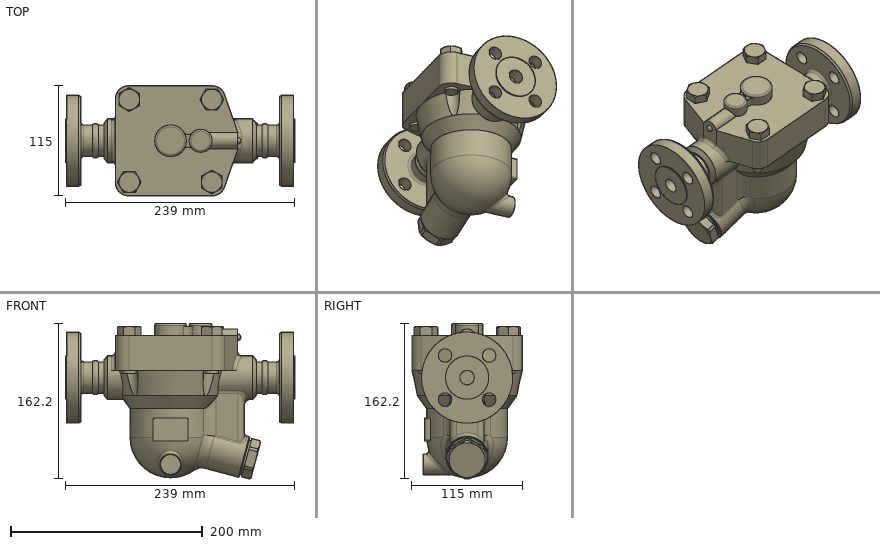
import cadquery as cq
import math

OVERALL_LENGTH = 239.0
VESSEL_X = -10.0

PICK_MARGIN = 1.0
PICK_TOLERANCE = 0.01

FLANGE_DIA = 95.0
FLANGE_THICKNESS = 14.7
FLANGE_CHAMFER_LENGTH = 2.3
FLANGE_CHAMFER_DEPTH = 1.3
RAISED_FACE_DIA = 45.0
RAISED_FACE_HEIGHT = 1.3
PORT_DIA = 15.0
PORT_DEPTH = FLANGE_THICKNESS + RAISED_FACE_HEIGHT
FLANGE_HOLE_DIA = 14.0
FLANGE_HOLE_CIRCLE_DIA = 65.0

PIPE_DIA = 33.0
PIPE_ROOT_FILLET = 3.0
BEAD_RISE = 1.4
BEAD_WIDTH = 6.4
BEAD_X = 88.3
SOCKET_DIA = 46.0
SOCKET_END_X = 75.5
SHOULDER_LENGTH = 4.0
SHOULDER_RISE = 1.8
SOCKET_BLEND = 4.0

COVER_SIDE = 115.0
COVER_NOSE_REACH = 70.0
COVER_NOSE_WIDTH = 18.0
COVER_SHOULDER_REACH = 53.2
COVER_CORNER_RADIUS = 14.0
COVER_TOP_Z = 44.0
COVER_JOINT_Z = 27.3
BODY_FLANGE_BOTTOM_Z = 7.2

BOLT_SPACING = 86.0
BOLT_DIA = 14.0
BOLT_HEAD_FLATS = 21.5
BOLT_HEAD_CORNER_DIA = 2 * BOLT_HEAD_FLATS / math.sqrt(3)
BOLT_HEAD_HEIGHT = 9.3
BOLT_END_LENGTH = 3.0
BOLT_CLEARANCE_DIA = 18.0
BOLT_HEAD_TURN = {(-1, 1): 30.0, (1, 1): 0.0, (-1, -1): 0.0, (1, -1): 30.0}

HEX_CHAMFER_ANGLE = 30.0

BOSS_TOP_Z = 56.4
BOSS_ROUND = 2.0
MAIN_BOSS_DIA = 33.0
SIDE_BOSS_DIA = 24.0
SIDE_BOSS_REACH = 31.4
BOSS_WEB_TOP_Z = 53.4
BOSS_WEB_BLEND = 6.0
DUCT_DIA = 17.4
DUCT_Z = 42.0
DUCT_KNOB_RADIUS = 3.4

VESSEL_RADIUS = 42.25
BOWL_TOP_RADIUS = COVER_SIDE / 2
BOWL_MID_RADIUS = 52.0
BOWL_MID_Z = -18.7
BOWL_BOTTOM_Z = -32.3
DOME_CENTER_Z = -62.2

BLOCK_WIDTH = 35.4
BLOCK_REACH = 77.0
BLOCK_EDGE_RADIUS = 6.5
BLOCK_BLEND_RADIUS = 16.0
BLOCK_DEPTH_IN_STRAINER = 10.0
BLOCK_SOCKET_FILLET = 6.0
BLOCK_STRAINER_FILLET = 3.0

STRAINER_TILT = 15.0
STRAINER_DIA = 44.0
STRAINER_LENGTH = 80.0
STRAINER_BLEND_RADIUS = 15.0
STRAINER_CHAMFER = 1.0
CAP_FLATS = 37.5
CAP_CORNER_DIA = 41.5
CAP_START = 82.1
CAP_END = 92.1
CAP_NECK_DIA = 37.0

DRAIN_DIA = 22.0
DRAIN_Z = -90.5
DRAIN_REACH = 45.8
DRAIN_CHAMFER = 0.6
DRAIN_BLEND = 3.0

PAD_WIDTH = 36.3
PAD_HEIGHT = 24.0
PAD_CENTER_Z = -54.2
PAD_REACH = 44.4
PAD_CORNER_RADIUS = 1.5


def cylinder_z(dia, bottom, top, x=0.0, y=0.0):
    return cq.Workplane("XY", origin=(x, y, bottom)).circle(dia / 2).extrude(top - bottom)


def hex_head(flats, corner_dia, height):
    """Hexagon along +Z with its corners turned to a diameter and its top chamfered."""
    corner_radius = corner_dia / 2
    prism = cq.Workplane("XY").polygon(6, 2 * flats / math.sqrt(3)).extrude(height)
    drop = (corner_radius - flats / 2) * math.tan(math.radians(HEX_CHAMFER_ANGLE))
    turned = (
        cq.Workplane("XZ")
        .moveTo(0, 0)
        .lineTo(corner_radius, 0)
        .lineTo(corner_radius, height - drop)
        .lineTo(flats / 2, height)
        .lineTo(0, height)
        .close()
        .revolve(360, (0, 0), (0, 1))
    )
    return prism.intersect(turned)


def is_curved(edge):
    return edge.geomType() != "LINE"


def cover_prism(bottom, top):
    """Square plate whose +X side tapers to a flat nose."""
    half = COVER_SIDE / 2
    nose = COVER_NOSE_WIDTH / 2
    prism = (
        cq.Workplane("XY", origin=(VESSEL_X, 0, bottom))
        .moveTo(-half, -half)
        .lineTo(COVER_SHOULDER_REACH, -half)
        .lineTo(COVER_NOSE_REACH, -nose)
        .lineTo(COVER_NOSE_REACH, nose)
        .lineTo(COVER_SHOULDER_REACH, half)
        .lineTo(-half, half)
        .close()
        .extrude(top - bottom)
    )
    corner_edges = prism.edges("|Z").filter(lambda edge: abs(edge.Center().y) > nose + PICK_MARGIN)
    return corner_edges.fillet(COVER_CORNER_RADIUS)


def pipe_end():
    """Flange, beaded pipe and socket on the +X side, turned about the X axis."""
    end = OVERALL_LENGTH / 2
    face = end - RAISED_FACE_HEIGHT
    back = face - FLANGE_THICKNESS
    pipe = PIPE_DIA / 2
    flange = FLANGE_DIA / 2
    socket = SOCKET_DIA / 2
    half_bead = BEAD_WIDTH / 2
    fillet_mid = PIPE_ROOT_FILLET * (1 - math.sqrt(0.5))
    turned = (
        cq.Workplane("XZ")
        .moveTo(0, 0)
        .lineTo(end, 0)
        .lineTo(end, RAISED_FACE_DIA / 2)
        .lineTo(face, RAISED_FACE_DIA / 2)
        .lineTo(face, flange)
        .lineTo(back + FLANGE_CHAMFER_LENGTH, flange)
        .lineTo(back, flange - FLANGE_CHAMFER_DEPTH)
        .lineTo(back, pipe + PIPE_ROOT_FILLET)
        .threePointArc(
            (back - fillet_mid, pipe + fillet_mid),
            (back - PIPE_ROOT_FILLET, pipe),
        )
        .lineTo(BEAD_X + half_bead, pipe)
        .threePointArc((BEAD_X, pipe + BEAD_RISE), (BEAD_X - half_bead, pipe))
        .lineTo(SOCKET_END_X + SHOULDER_LENGTH, pipe)
        .lineTo(SOCKET_END_X + SHOULDER_LENGTH, pipe + SHOULDER_RISE)
        .lineTo(SOCKET_END_X, socket)
        .lineTo(0, socket)
        .close()
        .revolve(360, (0, 0), (1, 0))
    )
    return turned


def flange_holes():
    """Port and four bolt holes cut into the +X flange."""
    end = OVERALL_LENGTH / 2
    offset = FLANGE_HOLE_CIRCLE_DIA / 2 / math.sqrt(2)
    port = cq.Workplane("YZ", origin=(end - PORT_DEPTH, 0, 0)).circle(PORT_DIA / 2).extrude(PORT_DEPTH)
    bolts = (
        cq.Workplane("YZ", origin=(end - PORT_DEPTH, 0, 0))
        .rect(2 * offset, 2 * offset, forConstruction=True)
        .vertices()
        .circle(FLANGE_HOLE_DIA / 2)
        .extrude(PORT_DEPTH)
    )
    return port.union(bolts)


def body_flange():
    """Flange of the body with its walls blended into the pipe sockets."""
    tall = cover_prism(-COVER_SIDE / 2, COVER_SIDE / 2)
    sockets = (
        cq.Workplane("YZ", origin=(-SOCKET_END_X, 0, 0))
        .circle(SOCKET_DIA / 2)
        .extrude(2 * SOCKET_END_X)
    )
    reach_x = SOCKET_END_X - PICK_MARGIN
    reach_yz = SOCKET_DIA / 2 + PICK_MARGIN
    near_sockets = cq.selectors.BoxSelector(
        (-reach_x, -reach_yz, -reach_yz),
        (reach_x, reach_yz, reach_yz),
    )
    root_edges = tall.union(sockets).edges(near_sockets).filter(is_curved)
    blended = root_edges.fillet(SOCKET_BLEND)
    slab = cylinder_z(OVERALL_LENGTH, BODY_FLANGE_BOTTOM_Z, COVER_JOINT_Z)
    return blended.intersect(slab)


def vessel():
    """Turned bowl, cylinder and hemispherical bottom."""
    dome_mid = VESSEL_RADIUS * math.sqrt(0.5)
    turned = (
        cq.Workplane("XZ")
        .moveTo(0, BODY_FLANGE_BOTTOM_Z)
        .lineTo(BOWL_TOP_RADIUS, BODY_FLANGE_BOTTOM_Z)
        .lineTo(BOWL_MID_RADIUS, BOWL_MID_Z)
        .lineTo(VESSEL_RADIUS, BOWL_BOTTOM_Z)
        .lineTo(VESSEL_RADIUS, DOME_CENTER_Z)
        .threePointArc((dome_mid, DOME_CENTER_Z - dome_mid), (0, DOME_CENTER_Z - VESSEL_RADIUS))
        .close()
        .revolve(360, (0, 0), (0, 1))
    )
    return turned.translate((VESSEL_X, 0, 0))


def along_strainer(shape):
    """Move a shape built along +Z from the origin onto the strainer axis."""
    tilted = shape.rotate((0, 0, 0), (0, 1, 0), 90 + STRAINER_TILT)
    return tilted.translate((VESSEL_X, 0, DOME_CENTER_Z))


def outlet_block_flare():
    """Concave flare that runs the block sides into the vessel wall, down to the dome centre."""
    half = BLOCK_WIDTH / 2
    blend_y = half + BLOCK_BLEND_RADIUS
    blend_x = math.sqrt((VESSEL_RADIUS + BLOCK_BLEND_RADIUS) ** 2 - blend_y**2)
    share = VESSEL_RADIUS / (VESSEL_RADIUS + BLOCK_BLEND_RADIUS)
    touch_x = blend_x * share
    touch_y = blend_y * share
    flare = (
        cq.Workplane("XY", origin=(VESSEL_X, 0, DOME_CENTER_Z))
        .moveTo(0, -touch_y)
        .lineTo(touch_x, -touch_y)
        .radiusArc((blend_x, -half), BLOCK_BLEND_RADIUS)
        .lineTo(blend_x, half)
        .radiusArc((touch_x, touch_y), BLOCK_BLEND_RADIUS)
        .lineTo(0, touch_y)
        .close()
        .extrude(-DOME_CENTER_Z)
    )
    tilt = math.tan(math.radians(STRAINER_TILT))
    above_strainer = (
        cq.Workplane("XZ", origin=(VESSEL_X, COVER_SIDE / 2, DOME_CENTER_Z))
        .moveTo(0, 0)
        .lineTo(COVER_SIDE, -COVER_SIDE * tilt)
        .lineTo(COVER_SIDE, COVER_SIDE)
        .lineTo(0, COVER_SIDE)
        .close()
        .extrude(COVER_SIDE)
    )
    return flare.intersect(above_strainer)


def outlet_block():
    """Block between socket and strainer tube, filleted to both."""
    half = BLOCK_WIDTH / 2
    bottom = DOME_CENTER_Z - BLOCK_DEPTH_IN_STRAINER
    slab = (
        cq.Workplane("XY", origin=(VESSEL_X, -half, bottom))
        .rect(BLOCK_REACH, BLOCK_WIDTH, centered=False)
        .extrude(-bottom)
        .edges("|Z and >X")
        .fillet(BLOCK_EDGE_RADIUS)
    )
    socket = (
        cq.Workplane("YZ", origin=(VESSEL_X, 0, 0))
        .circle(SOCKET_DIA / 2)
        .extrude(SOCKET_END_X - VESSEL_X)
    )
    tube = along_strainer(
        cq.Workplane("XY", origin=(0, 0, -BLOCK_DEPTH_IN_STRAINER))
        .circle(STRAINER_DIA / 2)
        .extrude(STRAINER_LENGTH - STRAINER_CHAMFER + BLOCK_DEPTH_IN_STRAINER)
    )

    def is_side_root(edge):
        middle = edge.Center()
        on_side = math.isclose(abs(middle.y), half, abs_tol=PICK_TOLERANCE)
        between_ends = bottom + PICK_TOLERANCE < middle.z < -PICK_TOLERANCE
        return on_side and between_ends and edge.BoundingBox().xlen > BLOCK_REACH / 2

    def blend_roots(shape, radius):
        return shape.edges().filter(is_side_root).fillet(radius)

    with_socket = blend_roots(slab.union(socket), BLOCK_SOCKET_FILLET)
    with_tube = blend_roots(slab.union(tube), BLOCK_STRAINER_FILLET)
    return with_socket.union(with_tube)


def strainer_tube():
    """Tube flared into the dome, with the neck and hexagon of its cap."""
    radius = STRAINER_DIA / 2
    blend = STRAINER_BLEND_RADIUS
    center_r = radius + blend
    center_s = math.sqrt((VESSEL_RADIUS + blend) ** 2 - center_r**2)
    share = VESSEL_RADIUS / (VESSEL_RADIUS + blend)
    turned = (
        cq.Workplane("XZ")
        .moveTo(0, 0)
        .lineTo(center_r * share, center_s * share)
        .radiusArc((radius, center_s), blend)
        .lineTo(radius, STRAINER_LENGTH - STRAINER_CHAMFER)
        .lineTo(radius - STRAINER_CHAMFER, STRAINER_LENGTH)
        .lineTo(CAP_NECK_DIA / 2, STRAINER_LENGTH)
        .lineTo(CAP_NECK_DIA / 2, CAP_START)
        .lineTo(0, CAP_START)
        .close()
        .revolve(360, (0, 0), (0, 1))
    )
    cap = hex_head(CAP_FLATS, CAP_CORNER_DIA, CAP_END - CAP_START)
    return along_strainer(turned.union(cap.translate((0, 0, CAP_START))))


def drain_boss():
    boss = cq.Workplane("XZ", origin=(VESSEL_X, 0, DRAIN_Z)).circle(DRAIN_DIA / 2).extrude(DRAIN_REACH)
    return boss.faces("<Y").chamfer(DRAIN_CHAMFER)


def vessel_with_drain():
    """Vessel and drain boss with a fillet where they meet."""
    joined = vessel().union(drain_boss())
    reach = DRAIN_DIA / 2 + DRAIN_BLEND
    near_root = cq.selectors.BoxSelector(
        (VESSEL_X - reach, -DRAIN_REACH + 2 * DRAIN_CHAMFER, DRAIN_Z - reach),
        (VESSEL_X + reach, 0, DRAIN_Z + reach),
    )
    return joined.edges(near_root).filter(is_curved).fillet(DRAIN_BLEND)


def name_pad():
    pad = (
        cq.Workplane("XZ", origin=(VESSEL_X, 0, PAD_CENTER_Z))
        .rect(PAD_WIDTH, PAD_HEIGHT)
        .extrude(PAD_REACH)
    )
    return pad.edges("|Y").fillet(PAD_CORNER_RADIUS)


def boss_web():
    """Web between the two bosses, its concave sides tangent to both."""
    blend = BOSS_WEB_BLEND
    main_span = MAIN_BOSS_DIA / 2 + blend
    side_span = SIDE_BOSS_DIA / 2 + blend
    center_x = (main_span**2 - side_span**2 + SIDE_BOSS_REACH**2) / (2 * SIDE_BOSS_REACH)
    center_y = math.sqrt(main_span**2 - center_x**2)
    main_share = MAIN_BOSS_DIA / 2 / main_span
    side_share = SIDE_BOSS_DIA / 2 / side_span
    main_x = center_x * main_share
    main_y = center_y * main_share
    side_x = SIDE_BOSS_REACH + (center_x - SIDE_BOSS_REACH) * side_share
    side_y = center_y * side_share
    return (
        cq.Workplane("XY", origin=(VESSEL_X, 0, COVER_JOINT_Z))
        .moveTo(main_x, -main_y)
        .radiusArc((side_x, -side_y), BOSS_WEB_BLEND)
        .lineTo(side_x, side_y)
        .radiusArc((main_x, main_y), BOSS_WEB_BLEND)
        .close()
        .extrude(BOSS_WEB_TOP_Z - COVER_JOINT_Z)
    )


def round_boss(dia, x):
    return cylinder_z(dia, COVER_JOINT_Z, BOSS_TOP_Z, x).faces(">Z").edges().fillet(BOSS_ROUND)


def cover_bosses():
    """Two bosses with their web, and the duct running from the smaller one to the nose."""
    side_x = VESSEL_X + SIDE_BOSS_REACH
    main = round_boss(MAIN_BOSS_DIA, VESSEL_X)
    side = round_boss(SIDE_BOSS_DIA, side_x)
    web = boss_web()
    nose_x = VESSEL_X + COVER_NOSE_REACH
    duct = cq.Workplane("YZ", origin=(side_x, 0, DUCT_Z)).circle(DUCT_DIA / 2).extrude(nose_x - side_x)
    knob = cq.Workplane("XY").sphere(DUCT_KNOB_RADIUS).translate((nose_x, 0, DUCT_Z))
    return main.union(side).union(web).union(duct).union(knob)


def cover_bolt(sign_x, sign_y):
    """Hexagon head on the cover and the shank end below the body flange."""
    x = VESSEL_X + sign_x * BOLT_SPACING / 2
    y = sign_y * BOLT_SPACING / 2
    head = hex_head(BOLT_HEAD_FLATS, BOLT_HEAD_CORNER_DIA, BOLT_HEAD_HEIGHT)
    head = head.rotate((0, 0, 0), (0, 0, 1), BOLT_HEAD_TURN[(sign_x, sign_y)])
    shank = cylinder_z(BOLT_DIA, BODY_FLANGE_BOTTOM_Z - BOLT_END_LENGTH, COVER_TOP_Z, x, y)
    return shank.union(head.translate((x, y, COVER_TOP_Z)))


def bolt_clearance(sign_x, sign_y):
    """Pocket in the bowl wall that clears the shank end."""
    x = VESSEL_X + sign_x * BOLT_SPACING / 2
    y = sign_y * BOLT_SPACING / 2
    return cylinder_z(BOLT_CLEARANCE_DIA, BOWL_MID_Z, BODY_FLANGE_BOTTOM_Z, x, y)


body = vessel_with_drain()
for corner in BOLT_HEAD_TURN:
    body = body.cut(bolt_clearance(*corner))
body = body.union(name_pad())
body = body.union(outlet_block_flare()).union(outlet_block()).union(strainer_tube())
body = body.union(body_flange())

right_end = pipe_end()
body = body.union(right_end).union(right_end.mirror("YZ"))

body = body.union(cover_prism(COVER_JOINT_Z, COVER_TOP_Z)).union(cover_bosses())
for corner in BOLT_HEAD_TURN:
    body = body.union(cover_bolt(*corner))

holes = flange_holes()
result = body.cut(holes).cut(holes.mirror("YZ"))